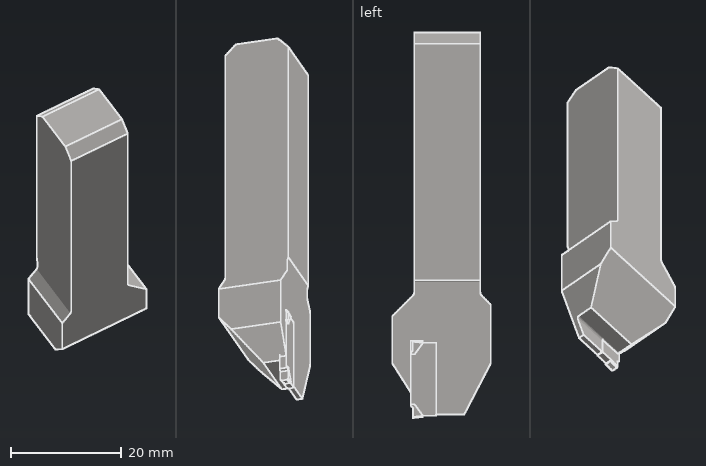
import cadquery as cq
import math


total_height = 70.0
shank_side = 12.05
half_shank = shank_side / 2
end_chamfer = 2.0

head_back = -7.9
head_front = 10.0
shoulder_top = 22.5
shoulder_fillet = 1.0
flank_top = 9.95
head_bottom = 0.6
bottom_back = -3.1
bottom_front = 4.05

head_recess = 0.2
recess_radius = 2.0
recess_end = 24.15
recess_arc_height = math.sqrt(recess_radius**2 - (recess_radius - head_recess) ** 2)

blade_outer = 1.3
blade_root = 4.1
blade_fillet = 0.4
relief_foot = 4.7
relief_top = 12.75

insert_front = 6.65
insert_back = 2.0
insert_length = 14.1
body_end = 0.4
insert_outer = 1.5
tip_front = 6.2
tip_back = 4.4
tip_heel = 0.2
notch_bottom = 1.8
notch_top = notch_bottom + insert_front - tip_front
pad_top = 2.5
pad_shoulder = 5.95
tip_chamfer = 0.2

pick_margin = 0.1


def prism_along_x(points, start, end):
    """Extrude a Y-Z outline from X = start to X = end."""
    return cq.Workplane("YZ", origin=(start, 0, 0)).polyline(points).close().extrude(end - start)


def make_holder_blank():
    """Shank and head outline, with filleted shoulder roots and a chamfered end."""
    back_drop = -half_shank - head_back
    front_drop = head_front - half_shank
    outline = [
        (-half_shank, total_height),
        (-half_shank, shoulder_top),
        (head_back, shoulder_top - back_drop),
        (head_back, flank_top),
        (bottom_back, head_bottom),
        (bottom_front, head_bottom),
        (head_front, flank_top),
        (head_front, shoulder_top - front_drop),
        (half_shank, shoulder_top),
        (half_shank, total_height),
    ]
    blank = prism_along_x(outline, 0, shank_side)
    shoulder_roots = cq.selectors.BoxSelector(
        (0, -half_shank - pick_margin, shoulder_top - pick_margin),
        (shank_side, half_shank + pick_margin, shoulder_top + pick_margin),
    )
    blank = blank.edges("|X").edges(shoulder_roots).fillet(shoulder_fillet)
    return blank.faces(">Z").edges("|Y").chamfer(end_chamfer)


def make_recess_cutter():
    """Shallow slab that sets the head's side face back from the shank."""
    head_width = head_front - head_back
    arc_angle = math.acos(1 - head_recess / recess_radius) / 2
    arc_middle = (
        head_recess - recess_radius * (1 - math.cos(arc_angle)),
        recess_end + recess_radius * math.sin(arc_angle),
    )
    return (
        cq.Workplane("XZ", origin=(0, head_front, 0))
        .moveTo(0, 0)
        .lineTo(head_recess, 0)
        .lineTo(head_recess, recess_end)
        .threePointArc(arc_middle, (0, recess_end + recess_arc_height))
        .close()
        .extrude(head_width)
    )


def make_relief_cutter():
    """Material removed beside the blade and under the thick part of the head."""
    head_width = head_front - head_back
    cutter = (
        cq.Workplane("XZ", origin=(0, head_front, 0))
        .moveTo(blade_outer, 0)
        .lineTo(blade_outer, blade_root)
        .lineTo(relief_foot, blade_root)
        .lineTo(shank_side, relief_top)
        .lineTo(shank_side, 0)
        .close()
        .extrude(head_width)
    )
    return cutter.edges("|Y").edges("<X").edges(">Z").fillet(blade_fillet)


def make_insert_pocket():
    """Seat for the insert: open at the bottom, stepped around the upper tip."""
    seat = [
        (insert_front, 0),
        (insert_front, insert_length),
        (tip_back, insert_length),
        (tip_back, insert_length - body_end),
        (insert_back, insert_length - body_end),
        (insert_back, 0),
    ]
    return prism_along_x(seat, 0, insert_outer)


def make_holder():
    holder = make_holder_blank()
    holder = holder.cut(make_recess_cutter())
    holder = holder.cut(make_relief_cutter())
    return holder.cut(make_insert_pocket())


def flipped(points):
    """Mirror a Y-Z outline about the mid-length of the insert, end for end."""
    return [(y, insert_length - z) for y, z in reversed(points)]


def make_lower_tip():
    """Cutting tip with a notched front, end clearance and chamfered end edges."""
    outline = [
        (insert_front, pad_top),
        (insert_front, notch_top),
        (tip_front, notch_bottom),
        (tip_front, 0),
        (tip_back, tip_heel),
        (tip_back, body_end),
        (pad_shoulder, pad_top),
    ]
    tip = prism_along_x(outline, 0, insert_outer)
    end_side_edges = cq.selectors.BoxSelector(
        (-pick_margin, tip_back, -pick_margin),
        (insert_outer + pick_margin, tip_front, tip_heel),
    )
    return tip.edges("not |X").edges(end_side_edges).chamfer(tip_chamfer)


def make_insert():
    """Flat body flush with the head, with a thicker cutting tip at each end."""
    lower_half = [
        (insert_front, pad_top),
        (pad_shoulder, pad_top),
        (tip_back, body_end),
        (insert_back, body_end),
    ]
    body = prism_along_x(lower_half + flipped(lower_half), head_recess, insert_outer)
    lower_tip = make_lower_tip()
    upper_tip = lower_tip.mirror("XY", (0, 0, insert_length / 2))
    return body.union(lower_tip).union(upper_tip)


holder = make_holder()
insert = make_insert()

result = cq.Compound.makeCompound([holder.solids().val(), insert.solids().val()])